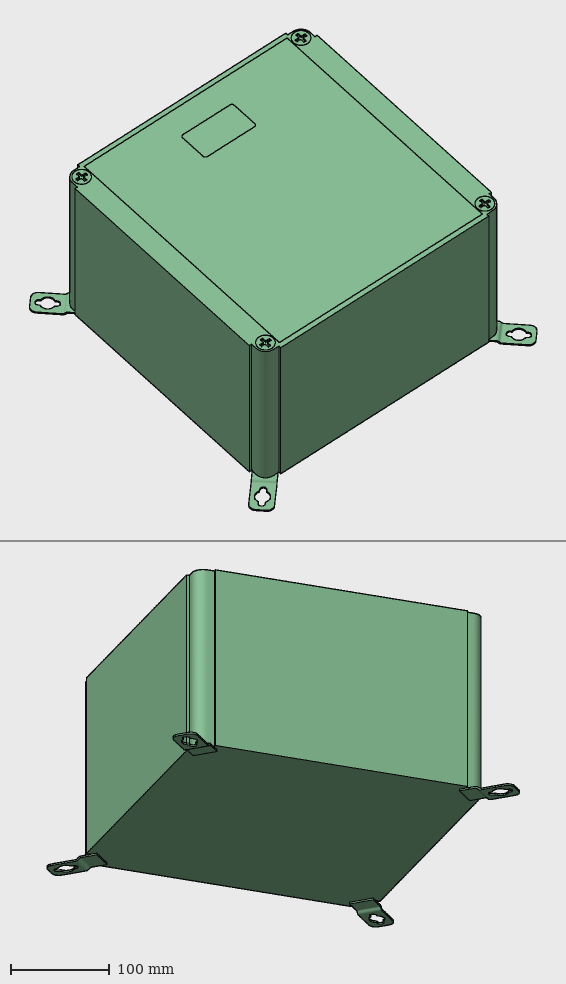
import cadquery as cq
import math

overall_width = 376.5
overall_height = 200.5

box_width = 320.0
wall_face_width = 275.0
post_setback = 3.0
post_radius = 12.0
raised_height = 0.5

panel_length = 308.0
panel_width = 268.0
label_length = 38.5
label_width = 68.0
label_center = (-103.0, 1.0)
label_corner_radius = 3.0
label_depth = 0.5

screw_diameter = 20.0
recess_length = 12.8
recess_width = 3.0
recess_depth = 2.3

sheet_thickness = 2.0
bracket_rise = 3.0
bracket_width = 26.5
foot_corner_radius = 7.5
tongue_start = 200.0
bend_start = 219.0
bend_angle = 45.0
bend_inner_radius = 2.5
foot_hole_diameter = 16.2
foot_hole_center = 239.5
foot_slot_length = 25.5
foot_slot_width = 7.0

bend_end = bend_start + bracket_rise / math.tan(math.radians(bend_angle))
bend_outer_radius = bend_inner_radius + sheet_thickness
underside_shift = sheet_thickness * math.tan(math.radians(bend_angle / 2))
box_bottom = bracket_rise + sheet_thickness
rim_top = overall_height - raised_height
post_face = box_width / 2 - post_setback
post_center = post_face - post_radius
foot_end = (
    overall_width / math.sqrt(2)
    - bracket_width / 2
    + foot_corner_radius * (2 - math.sqrt(2))
)
corner_angles = [45, 135, 225, 315]
corner_points = [(sx * post_center, sy * post_center) for sx in (-1, 1) for sy in (-1, 1)]


def make_box():
    """Box with rounded corner posts set slightly behind the wall faces."""
    height = rim_top - box_bottom
    base = cq.Workplane("XY").workplane(offset=box_bottom)
    core = base.rect(2 * post_face, 2 * post_face).extrude(height).edges("|Z").fillet(post_radius)
    along_x = base.rect(box_width, wall_face_width).extrude(height)
    along_y = base.rect(wall_face_width, box_width).extrude(height)
    return core.union(along_x).union(along_y)


def make_panel():
    """Raised lid panel with a shallow label recess."""
    base = cq.Workplane("XY").workplane(offset=rim_top)
    panel = base.rect(panel_length, panel_width).extrude(raised_height)
    label = (
        cq.Workplane("XY")
        .workplane(offset=overall_height - label_depth)
        .center(*label_center)
        .rect(label_length, label_width)
        .extrude(label_depth)
        .edges("|Z")
        .fillet(label_corner_radius)
    )
    return panel.cut(label)


def make_screw_heads():
    return (
        cq.Workplane("XY")
        .workplane(offset=rim_top)
        .pushPoints(corner_points)
        .circle(screw_diameter / 2)
        .extrude(raised_height)
    )


def make_screw_recesses():
    """Cross recesses in the screw heads."""
    base = cq.Workplane("XY").workplane(offset=overall_height - recess_depth).pushPoints(corner_points)
    bar_x = base.rect(recess_length, recess_width).extrude(recess_depth)
    bar_y = base.rect(recess_width, recess_length).extrude(recess_depth)
    return bar_x.union(bar_y)


def fillet_cross_edges(strip, corners, radius):
    """Round the strip edges that run across it through the given (x, z) corners."""
    for x, z in corners:
        strip = strip.edges(cq.NearestToPointSelector((x, 0, z))).fillet(radius)
    return strip


def make_bracket():
    """Joggled mounting bracket pointing along +X."""
    top_bend = (bend_start, box_bottom)
    top_valley = (bend_end, sheet_thickness)
    under_bend = (bend_end - underside_shift, 0)
    under_valley = (bend_start - underside_shift, bracket_rise)
    profile = [
        (tongue_start, box_bottom),
        top_bend,
        top_valley,
        (foot_end, sheet_thickness),
        (foot_end, 0),
        under_bend,
        under_valley,
        (tongue_start, bracket_rise),
    ]
    strip = cq.Workplane("XZ").polyline(profile).close().extrude(bracket_width / 2, both=True)
    strip = fillet_cross_edges(strip, [top_bend, under_bend], bend_outer_radius)
    strip = fillet_cross_edges(strip, [top_valley, under_valley], bend_inner_radius)
    strip = strip.edges("|Z and >X").fillet(foot_corner_radius)
    hole_plane = cq.Workplane("XY").center(foot_hole_center, 0)
    hole = hole_plane.circle(foot_hole_diameter / 2).extrude(sheet_thickness)
    slot = hole_plane.slot2D(foot_slot_length, foot_slot_width).extrude(sheet_thickness)
    return strip.cut(hole).cut(slot)


result = make_box().union(make_panel()).union(make_screw_heads()).cut(make_screw_recesses())
bracket = make_bracket()
for angle in corner_angles:
    result = result.union(bracket.rotate((0, 0, 0), (0, 0, 1), angle))